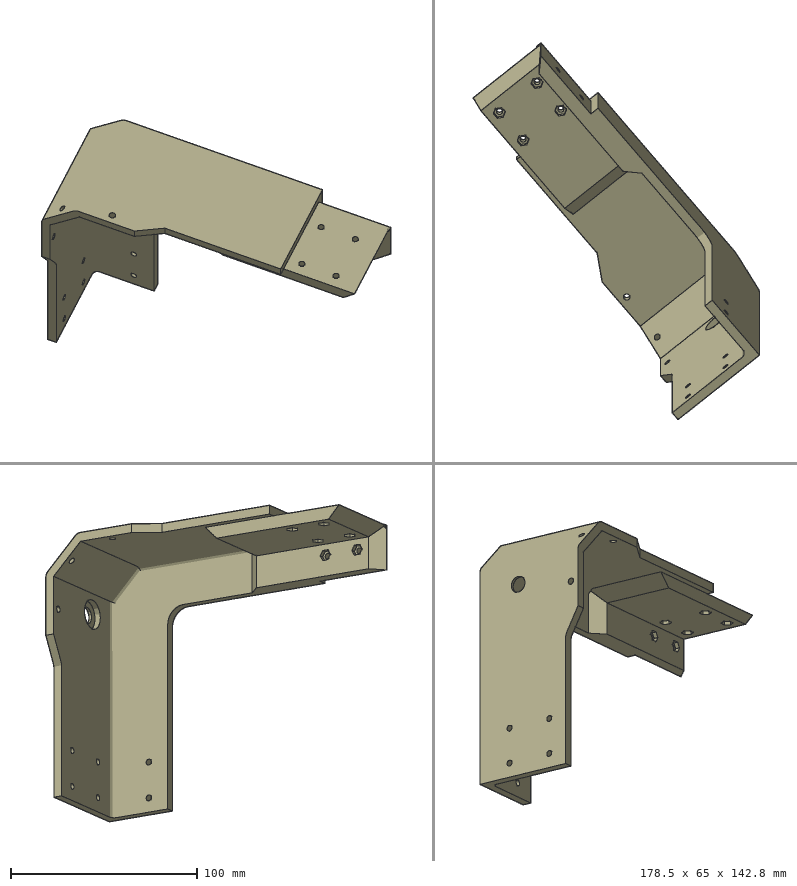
import cadquery as cq
import math

length = 178.5
depth = 65.0
height = 142.8

wall = 5.0
bend_setback = 20.0
bend_angle = 45
bend_radius = 4.6
shell_length = 136.4
arm_width = 40.0
arm_height = 30.0
inner_corner_radius = 10.0
seam_radius = 3.0

step_depth = 8.2
step_start = 54.3
step_angle = 60
leg_slope_run = 14.0
leg_bevel_depth = 0.5
leg_bevel_run = 1.8

tongue_start = 93.4
tongue_thickness = 7.1
tongue_depth = 47.8
flange_shortfall = 0.5

screw_diameter = 3.2
screw_pitch = 20.0
row_offsets = (19.6, 45.9)
tongue_hole_x = 144.0
tongue_web_hole_drop = 18.2
leg_hole_z = 8.0
leg_web_hole_x = 28.0
nut_width = 5.5
nut_depth = 2.5

edge_hole_diameter = 3.4
edge_hole_y = 4.8
edge_hole_distance = 39.3

cable_hole_diameter = 9.0
cable_recess_diameter = 16.0
cable_skin = 1.6
cable_hole_offset = 25.3
cable_hole_drop = 33.7

web_y = depth - wall
arm_bottom = height - arm_height
tongue_top = height - wall
tongue_front = web_y - tongue_depth


def plate_outline(inset):
    """Bent outside boundary moved inward by the inset, as three straight runs."""
    corner = bend_setback + inset * math.tan(math.radians(bend_angle / 2))
    top = height - inset
    return [(inset, 0), (inset, height - corner), (corner, top), (shell_length, top)]


def prism_along_y(points, y_start, y_end):
    """Prism with the given XZ outline between two Y positions."""
    return cq.Workplane("XZ", origin=(0, y_end, 0)).polyline(points).close().extrude(y_end - y_start)


def prism_along_z(points, z_start, z_end):
    """Prism with the given XY outline between two Z positions."""
    return cq.Workplane("XY", origin=(0, 0, z_start)).polyline(points).close().extrude(z_end - z_start)


def hole(diameter, start, direction, reach):
    """Cylinder to cut, from a start point along a direction."""
    cylinder = cq.Solid.makeCylinder(diameter / 2, reach, cq.Vector(*start), cq.Vector(*direction))
    return cq.Workplane(cylinder)


def nut_pocket(center, direction):
    """Hexagonal pocket to cut, sunk from its center along a direction."""
    across_corners = nut_width / math.cos(math.radians(30))
    plane = cq.Plane(center, (1, 0, 0), direction)
    return cq.Workplane(plane).polygon(6, across_corners).extrude(nut_depth)


def nearest_edge(body, point):
    return body.edges(cq.selectors.NearestToPointSelector(point))


def make_cavity():
    """Space inside the plate and web, rounded where the plate meets the web."""
    _, bend_low, bend_high, _ = plate_outline(wall)
    outline = [(wall, -height), bend_low, bend_high, (2 * length, tongue_top), (2 * length, -height)]
    cavity = prism_along_y(outline, -depth, web_y)
    seam = cavity.faces(">Y").edges("<X or >Z or (not (#X or #Z))")
    return seam.fillet(seam_radius)


def make_shell():
    inner_outline = [(shell_length, arm_bottom), (arm_width, arm_bottom), (arm_width, 0)]
    body = prism_along_y(plate_outline(0) + inner_outline, 0, depth)
    _, bend_low, bend_high, _ = plate_outline(0)
    rounded_corners = [
        (bend_low, bend_radius),
        (bend_high, bend_radius),
        ((arm_width, arm_bottom), inner_corner_radius),
    ]
    for (x, z), radius in rounded_corners:
        body = nearest_edge(body, (x, depth / 2, z)).fillet(radius)
    return body.cut(make_cavity())


def cut_edge_step(body):
    """Narrow both arms; the slope on the leg ends in a small flatter bevel."""
    arm_slope_end = step_start + step_depth * math.tan(math.radians(step_angle))
    arm_step = prism_along_z(
        [(step_start, 0), (arm_slope_end, step_depth), (length, step_depth), (length, 0)],
        arm_bottom,
        height,
    )
    slope_top = height - step_start
    slope_bottom = slope_top - leg_slope_run
    leg_outline = [
        (0, slope_top),
        (step_depth - leg_bevel_depth, slope_bottom),
        (step_depth, slope_bottom - leg_bevel_run),
        (step_depth, 0),
        (0, 0),
    ]
    leg_step = cq.Workplane("YZ").polyline(leg_outline).close().extrude(arm_width)
    return body.cut(arm_step).cut(leg_step)


def bevelled_outline(end, base):
    """Tongue plate outline with its long side on the base line and both ends sloping inward."""
    inner = base - tongue_thickness
    return [
        (tongue_start, base),
        (tongue_start + tongue_thickness, inner),
        (length - tongue_thickness, inner),
        (end, base),
    ]


def make_tip_bead():
    """Concave fillet bead in the tongue's corner that runs past the end of its flange."""
    arc_reach = seam_radius * (1 - math.sqrt(0.5))
    return (
        cq.Workplane("YZ", origin=(length - seam_radius, 0, 0))
        .moveTo(web_y, tongue_top)
        .lineTo(web_y - seam_radius, tongue_top)
        .threePointArc((web_y - arc_reach, tongue_top - arc_reach), (web_y, tongue_top - seam_radius))
        .close()
        .extrude(seam_radius)
    )


def make_tongue():
    flange = prism_along_y(bevelled_outline(length - flange_shortfall, tongue_top), tongue_front, web_y)
    web = prism_along_z(bevelled_outline(length, web_y), arm_bottom, tongue_top)
    return flange.union(web).union(make_tip_bead())


def cut_tongue_holes(body):
    """Screw holes through the tongue's flange and web, with nut pockets on the inner faces."""
    web_hole_z = height - tongue_web_hole_drop
    web_inner_y = web_y - tongue_thickness
    flange_inner_z = tongue_top - tongue_thickness
    for x in (tongue_hole_x, tongue_hole_x + screw_pitch):
        body = body.cut(hole(screw_diameter, (x, web_inner_y, web_hole_z), (0, 1, 0), tongue_thickness))
        body = body.cut(nut_pocket((x, web_inner_y, web_hole_z), (0, 1, 0)))
        for offset in row_offsets:
            start = (x, depth - offset, flange_inner_z)
            body = body.cut(hole(screw_diameter, start, (0, 0, 1), tongue_thickness))
            body = body.cut(nut_pocket(start, (0, 0, 1)))
    return body


def cut_leg_holes(body):
    """Screw holes through the leg's plate and web."""
    for z in (leg_hole_z, leg_hole_z + screw_pitch):
        body = body.cut(hole(screw_diameter, (leg_web_hole_x, web_y, z), (0, 1, 0), wall))
        for offset in row_offsets:
            body = body.cut(hole(screw_diameter, (0, depth - offset, z), (1, 0, 0), wall))
    return body


def cut_edge_holes(body):
    """One hole in each of the three runs of the plate, square to its face."""
    slope_middle = bend_setback / 2
    starts = [
        ((0, edge_hole_y, height - edge_hole_distance), (1, 0, 0)),
        ((slope_middle, edge_hole_y, height - slope_middle), (1, 0, -1)),
        ((edge_hole_distance, edge_hole_y, height), (0, 0, -1)),
    ]
    for start, inward in starts:
        body = body.cut(hole(edge_hole_diameter, start, inward, wall))
    return body


def cut_cable_hole(body):
    """Round hole through a thin skin, opening into a wider recess on the inner face."""
    y = depth - cable_hole_offset
    z = height - cable_hole_drop
    body = body.cut(hole(cable_hole_diameter, (0, y, z), (1, 0, 0), wall))
    return body.cut(hole(cable_recess_diameter, (cable_skin, y, z), (1, 0, 0), wall - cable_skin))


bracket = cut_edge_step(make_shell()).union(make_tongue())
bracket = cut_tongue_holes(bracket)
bracket = cut_leg_holes(bracket)
bracket = cut_edge_holes(bracket)
result = cut_cable_hole(bracket).solids()